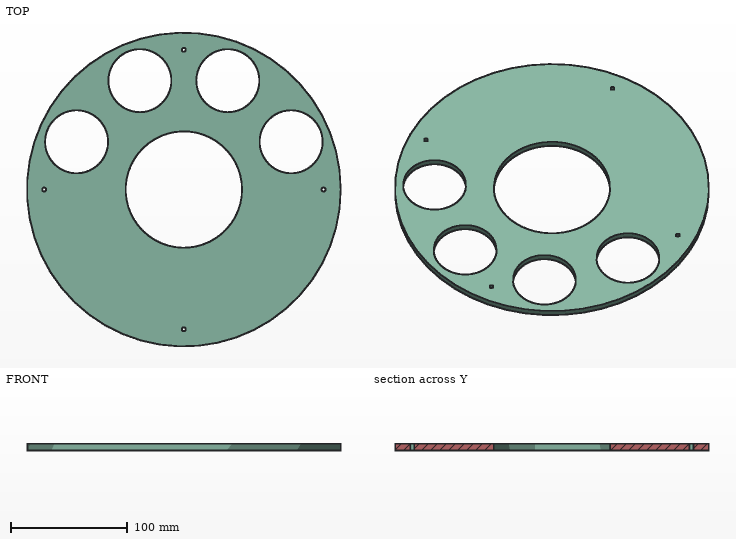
import cadquery as cq

disc_diameter = 270
thickness = 6.0
center_hole_diameter = 100

window_count = 4
window_diameter = 54
window_circle_radius = 101.0
window_spacing_angle = 44
window_span_angle = (window_count - 1) * window_spacing_angle
first_window_angle = 90 - window_span_angle / 2

mount_hole_count = 4
mount_hole_diameter = 3.2
mount_circle_radius = 120.2

disc = (
    cq.Workplane("XY")
    .circle(disc_diameter / 2)
    .circle(center_hole_diameter / 2)
    .extrude(thickness)
)

windowed_disc = (
    disc.faces(">Z")
    .workplane(origin=(0, 0, thickness))
    .polarArray(window_circle_radius, first_window_angle, window_span_angle, window_count)
    .hole(window_diameter)
)

result = (
    windowed_disc.faces(">Z")
    .workplane(origin=(0, 0, thickness))
    .polarArray(mount_circle_radius, 0, 360, mount_hole_count)
    .hole(mount_hole_diameter)
)